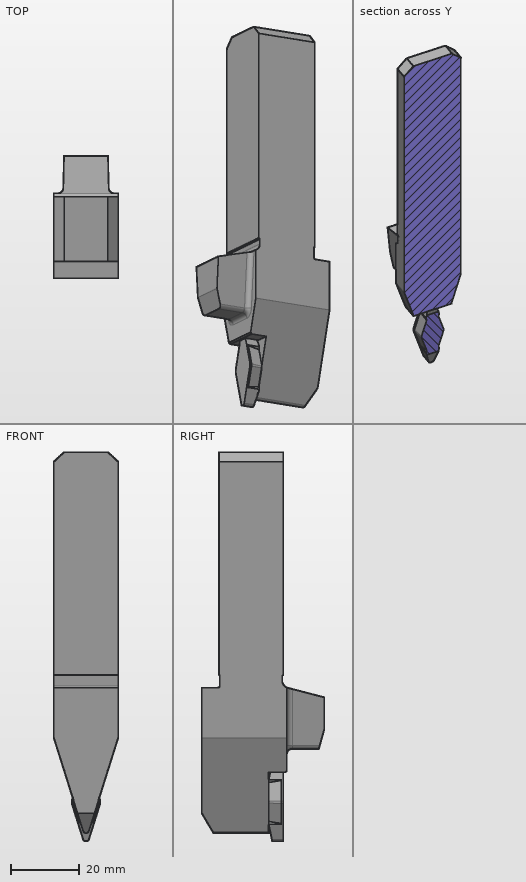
import cadquery as cq
import math


WIDTH = 18.9
HEIGHT = 114.0
OVERALL_DEPTH = 35.9
HALF_WIDTH = WIDTH / 2
SELECT_MARGIN = 0.06

SHANK_FRONT = 5.0
SHANK_BACK = SHANK_FRONT + WIDTH
SHANK_CHAMFER_X = 3.1
SHANK_CHAMFER_Z = 2.9
FRONT_RELIEF = 0.2
BACK_RELIEF = 0.3
RELIEF_TOP = 48.8
SHOULDER_FILLET = 0.5
BACK_FILLET = 4.5 / 2

HEAD_BACK = 25.0
SHOULDER_Z = 45.0
TAPER_START_Z = 30.3
TAPER_ANGLE = 17.5
TAPER_SLOPE = math.tan(math.radians(TAPER_ANGLE))
HEAD_BOTTOM = 2.4
NOSE_RADIUS = 0.8
NOSE_CHAMFER_Y = 3.4
NOSE_CHAMFER_Z = 5.8
SEAT_Y = 19.6
LEDGE_Z = 20.2
LEDGE_CHAMFER = 0.5

BOSS_TOP_HALF_WIDTH = 6.7
BOSS_DRAFT = 5.0
BOSS_BOTTOM = 27.0
BOSS_END_TOP = 42.2
BOSS_END_BOTTOM = 32.7
BOSS_BEVEL_Y = 1.6
BOSS_EDGE_RADIUS = 1.3
BOSS_BASE_FILLET = 1.5

INSERT_BACK = 23.9
INSERT_THICKNESS = INSERT_BACK - SEAT_Y
INSERT_MID_Z = 11.5
INSERT_HALF_WIDTH = 4.2
INSERT_FLAT_HALF_HEIGHT = 0.3
TIP_RADIUS = 0.85
RAKE_END_Z = 4.9
RAKE_DEPTH = 1.0
POCKET_RIM = 0.6
POCKET_STEP = 0.1
POCKET_DRAFT = 6.0
POCKET_HALF_HEIGHT = 6.5
POCKET_WALL_SLOPE = 3.0


def side_prism(points, half_width):
    """Extrude a (Y, Z) outline symmetrically about X = 0."""
    return cq.Workplane("YZ").polyline(points).close().extrude(half_width, both=True)


def front_prism(outline, y_start, y_end):
    """Extrude a closed (X, Z) outline from y_start to y_end."""
    return outline.extrude(y_start - y_end).translate((0, y_start, 0))


def make_shank():
    """Square bar with chamfered top corners and an undercut at its root."""
    front_relief_y = SHANK_FRONT + FRONT_RELIEF
    back_relief_y = SHANK_BACK - BACK_RELIEF
    fillet_run = HEAD_BACK - back_relief_y
    fillet_rise = math.sqrt(BACK_FILLET**2 - (BACK_FILLET - fillet_run) ** 2)
    shank = (
        cq.Workplane("YZ")
        .moveTo(front_relief_y, SHOULDER_Z)
        .lineTo(front_relief_y, RELIEF_TOP - FRONT_RELIEF)
        .lineTo(SHANK_FRONT, RELIEF_TOP)
        .lineTo(SHANK_FRONT, HEIGHT)
        .lineTo(SHANK_BACK, HEIGHT)
        .lineTo(SHANK_BACK, RELIEF_TOP)
        .lineTo(back_relief_y, RELIEF_TOP - BACK_RELIEF)
        .lineTo(back_relief_y, SHOULDER_Z + fillet_rise)
        .tangentArcPoint((HEAD_BACK, SHOULDER_Z), relative=False)
        .close()
        .extrude(HALF_WIDTH, both=True)
    )
    corner_x = HALF_WIDTH - SHANK_CHAMFER_X
    for side in (-1, 1):
        corner = (
            cq.Workplane("XZ")
            .moveTo(side * corner_x, HEIGHT)
            .lineTo(side * HALF_WIDTH, HEIGHT)
            .lineTo(side * HALF_WIDTH, HEIGHT - SHANK_CHAMFER_Z)
            .close()
        )
        shank = shank.cut(front_prism(corner, SHANK_FRONT, SHANK_BACK))
    return shank


def make_head():
    """Block with a V-shaped lower end, beveled nose and a seat for the insert."""
    bottom_half_width = HALF_WIDTH - TAPER_SLOPE * (TAPER_START_Z - HEAD_BOTTOM)
    outline = cq.Workplane("XZ").polyline(
        [
            (-HALF_WIDTH, SHOULDER_Z),
            (HALF_WIDTH, SHOULDER_Z),
            (HALF_WIDTH, TAPER_START_Z),
            (bottom_half_width, HEAD_BOTTOM),
            (-bottom_half_width, HEAD_BOTTOM),
            (-HALF_WIDTH, TAPER_START_Z),
        ]
    ).close()
    head = front_prism(outline, 0, HEAD_BACK)
    head = head.faces("<Z").edges("|Y").fillet(NOSE_RADIUS)

    bevel = side_prism(
        [(0, HEAD_BOTTOM), (NOSE_CHAMFER_Y, HEAD_BOTTOM), (0, HEAD_BOTTOM + NOSE_CHAMFER_Z)],
        HALF_WIDTH,
    )
    seat = side_prism(
        [
            (SEAT_Y, 0),
            (SEAT_Y, LEDGE_Z),
            (HEAD_BACK - LEDGE_CHAMFER, LEDGE_Z),
            (HEAD_BACK, LEDGE_Z + LEDGE_CHAMFER),
            (HEAD_BACK, 0),
        ],
        HALF_WIDTH,
    )
    return head.cut(bevel).cut(seat)


def make_boss():
    """Drafted lug on the back of the head, with rounded lower edges."""
    boss = side_prism(
        [
            (HEAD_BACK, BOSS_BOTTOM),
            (HEAD_BACK, SHOULDER_Z),
            (OVERALL_DEPTH, BOSS_END_TOP),
            (OVERALL_DEPTH, BOSS_END_BOTTOM),
            (OVERALL_DEPTH - BOSS_BEVEL_Y, BOSS_BOTTOM),
        ],
        HALF_WIDTH,
    )
    draft_slope = math.tan(math.radians(BOSS_DRAFT))
    bottom_half_width = BOSS_TOP_HALF_WIDTH - draft_slope * (SHOULDER_Z - BOSS_BOTTOM)
    outline = cq.Workplane("XZ").polyline(
        [
            (-BOSS_TOP_HALF_WIDTH, SHOULDER_Z),
            (BOSS_TOP_HALF_WIDTH, SHOULDER_Z),
            (bottom_half_width, BOSS_BOTTOM),
            (-bottom_half_width, BOSS_BOTTOM),
        ]
    ).close()
    boss = boss.intersect(front_prism(outline, HEAD_BACK, OVERALL_DEPTH))
    return boss.faces("<Z").edges("<X or >X").fillet(BOSS_EDGE_RADIUS)


def make_holder():
    """Shank, head and boss as one solid, with rounded inner corners."""
    head_and_boss = make_head().union(make_boss())
    base_edges = cq.selectors.BoxSelector(
        (-BOSS_TOP_HALF_WIDTH, HEAD_BACK - SELECT_MARGIN, BOSS_BOTTOM - SELECT_MARGIN),
        (BOSS_TOP_HALF_WIDTH, HEAD_BACK + SELECT_MARGIN, SHOULDER_Z - SELECT_MARGIN),
    )
    head_and_boss = head_and_boss.edges(base_edges).fillet(BOSS_BASE_FILLET)
    holder = head_and_boss.union(make_shank())
    front_y = SHANK_FRONT + FRONT_RELIEF
    shoulder_corner = cq.selectors.BoxSelector(
        (-HALF_WIDTH, front_y - SELECT_MARGIN, SHOULDER_Z - SELECT_MARGIN),
        (HALF_WIDTH, front_y + SELECT_MARGIN, SHOULDER_Z + SELECT_MARGIN),
    )
    return holder.edges(shoulder_corner).fillet(SHOULDER_FILLET)


def insert_half_width(height_from_middle):
    """Half width of the insert on a tapered side, at a distance above or below its middle."""
    return INSERT_HALF_WIDTH - TAPER_SLOPE * (height_from_middle - INSERT_FLAT_HALF_HEIGHT)


def insert_outline(inset):
    """Double-ended (X, Z) outline of the insert blank, with its sides moved inward by inset along X."""
    side = INSERT_HALF_WIDTH - inset
    end = insert_half_width(INSERT_MID_Z) - inset
    top = 2 * INSERT_MID_Z
    flat_bottom = INSERT_MID_Z - INSERT_FLAT_HALF_HEIGHT
    flat_top = INSERT_MID_Z + INSERT_FLAT_HALF_HEIGHT
    return cq.Workplane("XZ").polyline(
        [
            (end, 0),
            (side, flat_bottom),
            (side, flat_top),
            (end, top),
            (-end, top),
            (-side, flat_top),
            (-side, flat_bottom),
            (-end, 0),
        ]
    ).close()


def make_side_pocket(side):
    """Region beside the insert that is cleared to form one drafted side pocket."""
    rim_x = insert_half_width(POCKET_HALF_HEIGHT)
    inner_x = rim_x / 2
    outer_x = 2 * INSERT_HALF_WIDTH
    inner_half_height = POCKET_HALF_HEIGHT - POCKET_WALL_SLOPE * (rim_x - inner_x)
    outer_half_height = POCKET_HALF_HEIGHT + POCKET_WALL_SLOPE * (outer_x - rim_x)
    region = cq.Workplane("XZ").polyline(
        [
            (side * inner_x, INSERT_MID_Z - inner_half_height),
            (side * outer_x, INSERT_MID_Z - outer_half_height),
            (side * outer_x, INSERT_MID_Z + outer_half_height),
            (side * inner_x, INSERT_MID_Z + inner_half_height),
        ]
    ).close()
    return front_prism(region, SEAT_Y, INSERT_BACK - POCKET_RIM)


def make_insert():
    """Pointed insert that stands in the seat and reaches below the head."""
    blank = front_prism(insert_outline(0), SEAT_Y, INSERT_BACK)
    blank = blank.faces("<Z").edges("|Y").fillet(TIP_RADIUS)

    core = (
        insert_outline(POCKET_STEP)
        .extrude(INSERT_THICKNESS - POCKET_RIM, taper=POCKET_DRAFT)
        .translate((0, INSERT_BACK - POCKET_RIM, 0))
    )
    for side in (-1, 1):
        blank = blank.cut(make_side_pocket(side).cut(core))

    top = 2 * INSERT_MID_Z
    for end_z, rake_z in ((0, RAKE_END_Z), (top, top - RAKE_END_Z)):
        rake = side_prism([(SEAT_Y, end_z), (SEAT_Y + RAKE_DEPTH, end_z), (SEAT_Y, rake_z)], HALF_WIDTH)
        blank = blank.cut(rake)
    above_ledge = side_prism(
        [(SEAT_Y, LEDGE_Z), (INSERT_BACK, LEDGE_Z), (INSERT_BACK, top), (SEAT_Y, top)], HALF_WIDTH
    )
    return blank.cut(above_ledge)


holder = make_holder()
insert = make_insert()
result = cq.Compound.makeCompound([holder.solids().val(), insert.solids().val()])